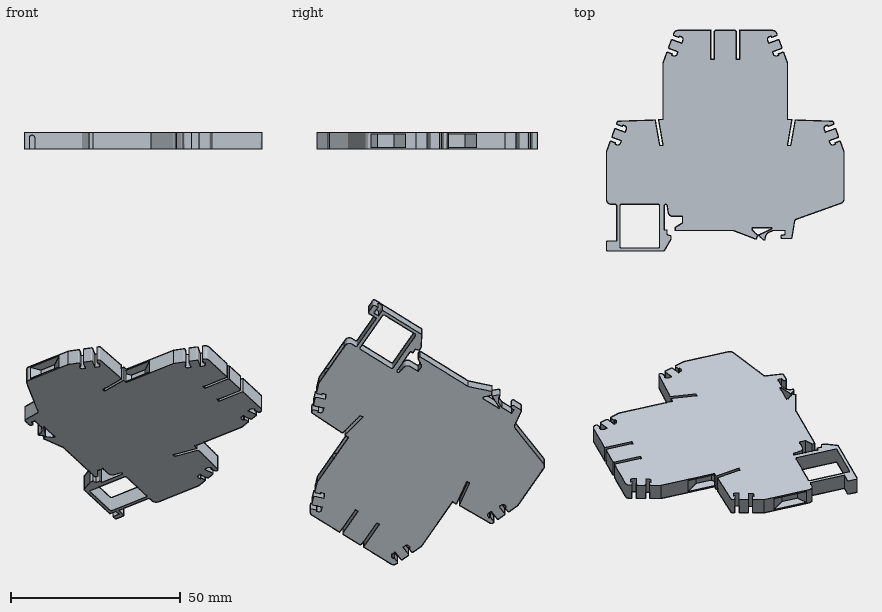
import cadquery as cq
import math

LENGTH = 70.0
WIDTH = 65.0
THICKNESS = 5.0
SIDE = LENGTH / 2
EDGE_ROUND = 0.2

TOWER_SIDE = 18.35
TOWER_CHAMFER_Y = 55.45
TOWER_TIP_RADIUS = 1.4
WING_CHAMFER_Y = 29.25
WING_TIP_Y = 38.3
WING_ROOT_Y = 38.65
WING_TIP_RADIUS = 0.5
LEDGE_Y = 38.8
CHAMFER_ANGLE = 20.0
JOIN_Y = 17.5

SLIT_WIDTH = 0.9
TOP_SLIT_INNER_X = 3.3
TOP_SLIT_DEPTH = 8.5
TOP_SLIT_BEVEL = 0.35
WING_SLIT_FLOOR_Y = 31.15
WING_SLIT_LEAN = 1.3

TOOTH_ROUND = 0.35
LOWER_GROOVE_START = 3.4
LOWER_GROOVE_WIDTH = 1.1
LOWER_GROOVE_DEPTH = 3.0
TOOTH_THICKNESS = 2.8
UPPER_GROOVE_WIDTH = 1.25
UPPER_GROOVE_DEPTH = 3.2
UNDERCUT_LENGTH = 1.3
UNDERCUT_DEPTH = 0.4
UNDERCUT_ROUND = 0.8

POCKET_HEIGHT = 4.05
POCKET_DEPTH = 2.8
POCKET_LENGTH = 10.1
POCKET_RAMP = 3.4
POCKET_END_RAMP = 1.8
TOWER_POCKET_TOP_Y = 47.05
WING_POCKET_TOP_Y = 26.1

SHOULDER_Y = 13.8
SHOULDER_ROUND = 1.5
STRUT_OUTER_X = -32.0
STRUT_ROUND = 0.35
WINDOW_LEFT_X = -30.95
WINDOW_RIGHT_X = -19.4
WINDOW_FLOOR_Y = 1.0
WINDOW_ROUND = 0.35
STRUT_INNER_X = -17.9
FOOT_TOP_Y = 3.1
FOOT_ROUND = 0.5

RAIL_FACE_Y = 6.1
RELIEF_Y = 10.2
RELIEF_ROUND = 1.5
RELIEF_SLOT_ROUND = 0.385
LATCH_ROOF_Y = 6.85
LATCH_TIP_Y = 3.3
LATCH_ARM_ROUND = 2.1
HOOK_Y = 3.7
HOOK_ROUND = 0.5
HOUSING_END_ROUND = 1.4

FOOT_SLOT_RIGHT_X = -31.9
FOOT_SLOT_WIDTH = 1.6
FOOT_SLOT_HEIGHT = 4.1
FOOT_SLOT_DEPTH = 2.1


def rounded_wire(corners):
    """Closed outline; a third value in a corner is its rounding radius."""
    spans = []
    for i, corner in enumerate(corners):
        x, y = corner[:2]
        radius = corner[2] if len(corner) > 2 else 0
        if not radius:
            spans.append([(x, y)])
            continue
        directions = []
        for neighbour in (corners[i - 1], corners[(i + 1) % len(corners)]):
            dx, dy = neighbour[0] - x, neighbour[1] - y
            reach = math.hypot(dx, dy)
            directions.append((dx / reach, dy / reach))
        (ax, ay), (bx, by) = directions
        half_angle = math.acos(ax * bx + ay * by) / 2
        setback = radius / math.tan(half_angle)
        bow = radius / math.sin(half_angle) - radius
        mid_length = math.hypot(ax + bx, ay + by)
        spans.append([
            (x + ax * setback, y + ay * setback),
            (x + (ax + bx) * bow / mid_length, y + (ay + by) * bow / mid_length),
            (x + bx * setback, y + by * setback),
        ])
    wire = cq.Workplane("XY").moveTo(*spans[0][-1])
    for span in spans[1:] + spans[:1]:
        wire = wire.lineTo(*span[0])
        if len(span) == 3:
            wire = wire.threePointArc(span[1], span[2])
    return wire.close()


def plate(corners):
    return rounded_wire(corners).extrude(THICKNESS)


def groove_points(start_x, start_y):
    """Marker edge with two undercut grooves, going up from the chamfer start."""
    angle = math.radians(CHAMFER_ANGLE)
    tooth_low = LOWER_GROOVE_START + LOWER_GROOVE_WIDTH
    tooth_high = tooth_low + TOOTH_THICKNESS
    groove_top = tooth_high + UPPER_GROOVE_WIDTH
    lower_undercut = LOWER_GROOVE_START - UNDERCUT_DEPTH
    upper_undercut = groove_top + UNDERCUT_DEPTH
    lower_neck = LOWER_GROOVE_DEPTH - UNDERCUT_LENGTH
    upper_neck = UPPER_GROOVE_DEPTH - UNDERCUT_LENGTH
    local = [
        (0, 0, 0),
        (LOWER_GROOVE_START, 0, TOOTH_ROUND),
        (LOWER_GROOVE_START, lower_neck, 0),
        (lower_undercut, lower_neck, 0),
        (lower_undercut, LOWER_GROOVE_DEPTH, UNDERCUT_ROUND),
        (tooth_low, LOWER_GROOVE_DEPTH, 0),
        (tooth_low, 0, TOOTH_ROUND),
        (tooth_high, 0, TOOTH_ROUND),
        (tooth_high, UPPER_GROOVE_DEPTH, 0),
        (upper_undercut, UPPER_GROOVE_DEPTH, UNDERCUT_ROUND),
        (upper_undercut, upper_neck, 0),
        (groove_top, upper_neck, 0),
        (groove_top, 0, TOOTH_ROUND),
    ]
    return [
        (
            start_x + along * math.sin(angle) + inward * math.cos(angle),
            start_y + along * math.cos(angle) - inward * math.sin(angle),
            radius,
        )
        for along, inward, radius in local
    ]


def chamfer_end(start_x, start_y, end_y):
    return start_x + (end_y - start_y) * math.tan(math.radians(CHAMFER_ANGLE))


def tower_half():
    top_corner_x = chamfer_end(-TOWER_SIDE, TOWER_CHAMFER_Y, WIDTH)
    slit_outer_x = -TOP_SLIT_INNER_X - SLIT_WIDTH
    slit_floor_y = WIDTH - TOP_SLIT_DEPTH
    return plate(
        [(0, JOIN_Y), (-TOWER_SIDE, JOIN_Y)]
        + groove_points(-TOWER_SIDE, TOWER_CHAMFER_Y)
        + [
            (top_corner_x, WIDTH, TOWER_TIP_RADIUS),
            (slit_outer_x, WIDTH),
            (slit_outer_x, slit_floor_y),
            (-TOP_SLIT_INNER_X, slit_floor_y),
            (-TOP_SLIT_INNER_X, WIDTH - TOP_SLIT_BEVEL),
            (-TOP_SLIT_INNER_X + TOP_SLIT_BEVEL, WIDTH),
            (0, WIDTH),
        ]
    )


def wing_half():
    slit_outer_x = -TOWER_SIDE - SLIT_WIDTH
    return plate(
        [(-TOWER_SIDE, JOIN_Y), (-SIDE, JOIN_Y)]
        + groove_points(-SIDE, WING_CHAMFER_Y)
        + [
            (chamfer_end(-SIDE, WING_CHAMFER_Y, WING_TIP_Y), WING_TIP_Y, WING_TIP_RADIUS),
            (slit_outer_x - WING_SLIT_LEAN, WING_ROOT_Y, EDGE_ROUND),
            (slit_outer_x, WING_SLIT_FLOOR_Y),
            (-TOWER_SIDE, WING_SLIT_FLOOR_Y),
        ]
    )


def ledge_half():
    """Small step where the slit's inner wall rises to the foot of the tower."""
    return plate([
        (-TOWER_SIDE, WING_SLIT_FLOOR_Y),
        (-TOWER_SIDE, LEDGE_Y),
        (-TOWER_SIDE - WING_SLIT_LEAN, LEDGE_Y),
    ])


def wire_pocket(side_x, top_y):
    """Pocket with a ramp at each end, sunk into a left-hand side face."""
    bottom_y = top_y - POCKET_LENGTH
    floor_x = side_x + POCKET_DEPTH
    profile = [
        (side_x, top_y),
        (floor_x, top_y - POCKET_RAMP),
        (floor_x, bottom_y + POCKET_END_RAMP),
        (side_x, bottom_y),
    ]
    base = cq.Workplane("XY").workplane(offset=(THICKNESS - POCKET_HEIGHT) / 2)
    return base.polyline(profile).close().extrude(POCKET_HEIGHT)


def rail_foot():
    """Lower edge of the housing with the spring foot, latch and fixed hook."""
    spring_foot = [
        (-SIDE, JOIN_Y),
        (-SIDE, SHOULDER_Y, SHOULDER_ROUND),
        (STRUT_OUTER_X, SHOULDER_Y, STRUT_ROUND),
        (STRUT_OUTER_X, FOOT_TOP_Y),
        (-SIDE, FOOT_TOP_Y, FOOT_ROUND),
        (-SIDE, 0, FOOT_ROUND),
        (-18.0, 0, FOOT_ROUND),
        (-15.95, 3.5),
        (-15.95, 4.55),
        (-17.1, 4.9),
        (-17.1, 6.3),
        (STRUT_INNER_X, 6.3),
    ]
    rail_relief = [
        (STRUT_INNER_X, SHOULDER_Y, RELIEF_SLOT_ROUND),
        (-17.15, SHOULDER_Y, RELIEF_SLOT_ROUND),
        (-16.65, RELIEF_Y, RELIEF_ROUND),
        (-12.6, RELIEF_Y),
        (-12.6, 8.3),
        (-14.8, 7.0),
        (-14.8, RAIL_FACE_Y),
    ]
    latch = [
        (2.3, RAIL_FACE_Y),
        (9.1, 3.5, EDGE_ROUND),
        (9.6, 4.6),
        (8.0, 6.2),
        (8.0, LATCH_ROOF_Y),
        (13.65, LATCH_ROOF_Y),
        (13.65, 6.6),
        (9.7, 4.75),
        (11.3, LATCH_TIP_Y, EDGE_ROUND),
        (11.75, LATCH_TIP_Y, EDGE_ROUND),
        (11.75, 5.1, LATCH_ARM_ROUND),
        (14.15, RAIL_FACE_Y),
    ]
    hook = [
        (17.6, RAIL_FACE_Y),
        (17.6, 4.9),
        (16.4, 4.7, EDGE_ROUND),
        (16.4, HOOK_Y, HOOK_ROUND),
        (19.6, HOOK_Y, HOOK_ROUND),
        (20.5, 9.25, HOOK_ROUND),
        (SIDE, 14.4, HOUSING_END_ROUND),
        (SIDE, JOIN_Y),
    ]
    return plate(spring_foot + rail_relief + latch + hook)


def foot_window():
    return plate([
        (WINDOW_LEFT_X, WINDOW_FLOOR_Y, WINDOW_ROUND),
        (WINDOW_LEFT_X, SHOULDER_Y, WINDOW_ROUND),
        (WINDOW_RIGHT_X, SHOULDER_Y, WINDOW_ROUND),
        (WINDOW_RIGHT_X, WINDOW_FLOOR_Y, WINDOW_ROUND),
    ])


def foot_slot():
    """Round-topped blind slot in the end of the foot, open to its underside."""
    slot_left_x = FOOT_SLOT_RIGHT_X - FOOT_SLOT_WIDTH
    spring_z = FOOT_SLOT_HEIGHT - FOOT_SLOT_WIDTH / 2
    return (
        cq.Workplane("XZ")
        .moveTo(slot_left_x, 0)
        .lineTo(slot_left_x, spring_z)
        .threePointArc(
            (slot_left_x + FOOT_SLOT_WIDTH / 2, FOOT_SLOT_HEIGHT),
            (FOOT_SLOT_RIGHT_X, spring_z),
        )
        .lineTo(FOOT_SLOT_RIGHT_X, 0)
        .close()
        .extrude(-FOOT_SLOT_DEPTH)
    )


left_decks = (
    tower_half()
    .union(wing_half())
    .union(ledge_half())
    .cut(wire_pocket(-TOWER_SIDE, TOWER_POCKET_TOP_Y))
)
decks = left_decks.union(left_decks.mirror("YZ"))
housing = decks.union(rail_foot()).cut(foot_window()).cut(foot_slot())

wing_pocket = wire_pocket(-SIDE, WING_POCKET_TOP_Y)
result = housing.cut(wing_pocket).cut(wing_pocket.mirror("YZ")).clean()